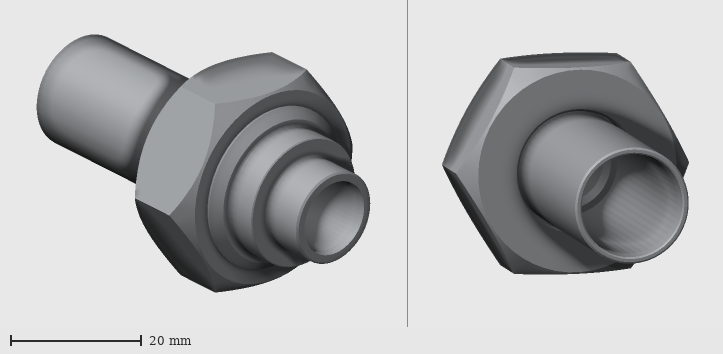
import cadquery as cq
import math

total_length = 59.5
nut_start = 31.5
nut_length = 13.6
nut_end = nut_start + nut_length
flange_start = 34.5
joint_face = 37.5
thread_end = 45.45
cone_end = 47.0
shoulder_end = 52.35

tube_diameter = 18.0
tube_bore = 16.0
tube_outer_chamfer = 0.3
tube_inner_chamfer = 0.25
flange_diameter = 24.1

across_flats = 32.0
across_corners = across_flats / math.cos(math.pi / 6)
nut_face_diameter = 31.4
nut_hole = 18.5
nut_hole_chamfer = 0.35

thread_diameter = 26.4
cone_small_diameter = 23.25
shoulder_diameter = 21.0
shoulder_chamfer = 0.2
spigot_diameter = 15.0
spigot_chamfer = 0.3
root_radius = 0.6
body_bore = 12.0
countersink_diameter = 14.0


def cylinder(diameter, start, end):
    """Solid cylinder around the X axis between two X positions."""
    return cq.Workplane("YZ", origin=(start, 0, 0)).circle(diameter / 2).extrude(end - start)


def make_tube():
    """Plain tube with a retaining flange at its inner end."""
    tube = cylinder(tube_diameter, 0, flange_start)
    tube = tube.faces("<X").chamfer(tube_outer_chamfer)
    tube = tube.union(cylinder(flange_diameter, flange_start, joint_face))
    tube = tube.cut(cylinder(tube_bore, 0, joint_face))
    bore_rim = cq.selectors.RadiusNthSelector(0)
    return tube.faces("<X").edges(bore_rim).chamfer(tube_inner_chamfer)


def make_nut():
    """Hexagon with 45 degree turned corners, bored for the flange and the thread."""
    hexagon = (
        cq.Workplane("YZ", origin=(nut_start, 0, 0))
        .polygon(6, across_corners)
        .extrude(nut_length)
    )
    corner_chamfer = (across_corners - nut_face_diameter) / 2
    turned_blank = cylinder(across_corners, nut_start, nut_end).faces("<X or >X").chamfer(corner_chamfer)
    nut = hexagon.intersect(turned_blank)
    nut = nut.cut(cylinder(nut_hole, nut_start, nut_end))
    nut = nut.faces("<X").edges(cq.selectors.RadiusNthSelector(0)).chamfer(nut_hole_chamfer)
    return nut.cut(cylinder(thread_diameter, flange_start, nut_end))


def make_threaded_body():
    """Turned body: thread, conical run-out, shoulder and spigot around a through bore."""
    thread_radius = thread_diameter / 2
    shoulder_radius = shoulder_diameter / 2
    spigot_radius = spigot_diameter / 2
    bore_radius = body_bore / 2
    countersink_radius = countersink_diameter / 2
    countersink_depth = countersink_radius - bore_radius
    root_arc_offset = root_radius * (1 - math.sqrt(0.5))

    def root_fillet(profile, wall, radius):
        """Concave arc from a wall facing +X down to a cylinder of the given radius."""
        return profile.lineTo(wall, radius + root_radius).threePointArc(
            (wall + root_arc_offset, radius + root_arc_offset),
            (wall + root_radius, radius),
        )

    profile = (
        cq.Workplane("XY")
        .moveTo(joint_face, countersink_radius)
        .lineTo(joint_face, thread_radius)
        .lineTo(thread_end, thread_radius)
        .lineTo(cone_end, cone_small_diameter / 2)
    )
    profile = root_fillet(profile, cone_end, shoulder_radius)
    profile = profile.lineTo(shoulder_end - shoulder_chamfer, shoulder_radius)
    profile = profile.lineTo(shoulder_end, shoulder_radius - shoulder_chamfer)
    profile = root_fillet(profile, shoulder_end, spigot_radius)
    profile = (
        profile.lineTo(total_length - spigot_chamfer, spigot_radius)
        .lineTo(total_length, spigot_radius - spigot_chamfer)
        .lineTo(total_length, bore_radius)
        .lineTo(joint_face + countersink_depth, bore_radius)
        .close()
    )
    return profile.revolve(360, (0, 0, 0), (1, 0, 0))


tube = make_tube()
nut = make_nut()
threaded_body = make_threaded_body()

result = cq.Compound.makeCompound([tube.val(), nut.val(), threaded_body.val()])